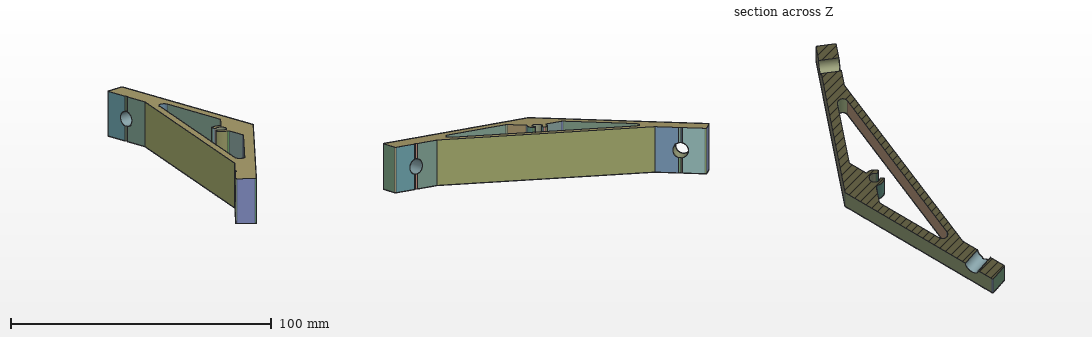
import cadquery as cq
import math

height = 18.0
arm_angle = 22.5
arm_length = 70.0
arm_thickness = 8.0
pad_length = 20.0
web_thickness = 3.0
rafter_thickness = 4.0
edge_round = 0.5
ridge_round = 0.3

window_end_round = 2.0
window_peak_x = 11.0
window_peak_round = 1.0

clip_bore_radius = 2.0
clip_outer_radius = 3.87
clip_root_round = 0.5
clip_mouth_half_angle = 32.0
clip_lip_round = 0.5

hole_diameter = 6.0
groove_width = 1.5
groove_wall_angle = 30.0

edge_tolerance = 0.01

cos_arm = math.cos(math.radians(arm_angle))
sin_arm = math.sin(math.radians(arm_angle))
slope = math.tan(math.radians(arm_angle))

end_top = (arm_length * cos_arm, -arm_length * sin_arm)
end_bottom = (end_top[0] - arm_thickness * sin_arm, end_top[1] - arm_thickness * cos_arm)
web_corner = (end_bottom[0] - pad_length * cos_arm, end_bottom[1] + pad_length * sin_arm)
web_top_y = web_corner[1] + web_thickness

rafter_drop = rafter_thickness / cos_arm
window_corner_x = (-web_top_y - rafter_drop) / slope
window_peak_y = -rafter_drop - slope * window_peak_x
clip_center_y = window_peak_y - slope * window_peak_x


def mirrored_prism(right_points):
    """Extrude the closed outline made of right-side points and their mirror images."""
    left_points = [(-x, y) for x, y in reversed(right_points) if x != 0]
    return cq.Workplane("XY").polyline(right_points + left_points).close().extrude(height)


def round_edges(body, points, radius):
    """Fillet the vertical edges at the given points and their mirror images."""
    for x, y in points:
        for edge_x in {x, -x}:
            low_corner = (edge_x - edge_tolerance, y - edge_tolerance, 0)
            high_corner = (edge_x + edge_tolerance, y + edge_tolerance, height)
            near_point = cq.selectors.BoxSelector(low_corner, high_corner)
            body = body.edges("|Z").edges(near_point).fillet(radius)
    return body


def make_frame():
    ridge = (0, 0)
    frame = mirrored_prism([ridge, end_top, end_bottom, web_corner])
    frame = round_edges(frame, [end_top, end_bottom], edge_round)
    return round_edges(frame, [ridge], ridge_round)


def make_window():
    peak = (window_peak_x, window_peak_y)
    corner = (window_corner_x, web_top_y)
    window = mirrored_prism([(0, clip_center_y), peak, corner])
    window = round_edges(window, [corner], window_end_round)
    return round_edges(window, [peak], window_peak_round)


def add_clip(body):
    """Add the clip cylinder and round the inside corners where it meets the frame."""
    clip = cq.Workplane("XY").center(0, clip_center_y).circle(clip_outer_radius).extrude(height)
    root = (clip_outer_radius * cos_arm, clip_center_y + clip_outer_radius * sin_arm)
    return round_edges(body.union(clip), [root], clip_root_round)


def cut_clip_opening(body):
    """Cut the clip bore and its radial mouth, then round the corners of both lips."""
    bore = cq.Workplane("XY").center(0, clip_center_y).circle(clip_bore_radius).extrude(height)
    mouth_angle = math.radians(clip_mouth_half_angle)

    def lip_point(radius):
        return (radius * math.sin(mouth_angle), clip_center_y - radius * math.cos(mouth_angle))

    beyond_clip = lip_point(1.25 * clip_outer_radius)
    mouth = mirrored_prism([(0, clip_center_y), beyond_clip])
    lip_corners = [lip_point(clip_bore_radius), lip_point(clip_outer_radius)]
    return round_edges(body.cut(bore).cut(mouth), lip_corners, clip_lip_round)


def make_arm_cut(side):
    """Mounting hole and shallow V groove across the pad of one arm (side is +1 or -1)."""
    pad_center = cq.Vector(
        side * (web_corner[0] + end_bottom[0]) / 2, (web_corner[1] + end_bottom[1]) / 2, height / 2
    )
    inward = cq.Vector(side * sin_arm, cos_arm, 0)
    along = cq.Vector(side * cos_arm, -sin_arm, 0)
    hole_plane = cq.Plane(origin=pad_center, xDir=along, normal=inward)
    hole = cq.Workplane(hole_plane).circle(hole_diameter / 2).extrude(2 * arm_thickness, both=True)
    groove_plane = cq.Plane(origin=pad_center - cq.Vector(0, 0, height / 2), xDir=along, normal=(0, 0, 1))
    half = groove_width / 2
    groove_depth = half * math.tan(math.radians(groove_wall_angle))
    groove = (
        cq.Workplane(groove_plane)
        .polyline([(-half, 0), (half, 0), (0, groove_depth * side)])
        .close()
        .extrude(height)
    )
    return hole.union(groove)


result = make_frame().cut(make_window())
result = cut_clip_opening(add_clip(result))
for side in (-1, 1):
    result = result.cut(make_arm_cut(side))